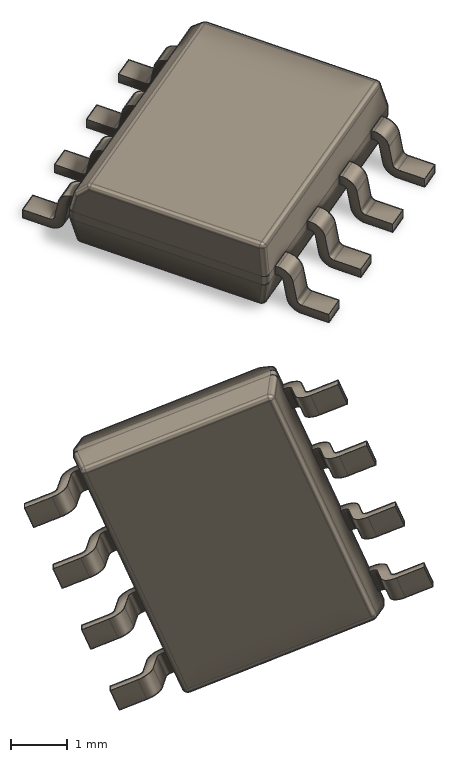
import cadquery as cq
import math

span_x = 6.0
body_x = 3.9
body_y = 4.9
body_top = 1.57
standoff = 0.1
draft = 10.0
body_fillet = 0.1
edge_bevel_top = 0.335

lead_count = 4
lead_pitch = 1.27
lead_width = 0.41
lead_thickness = 0.2
foot_length = 0.61
leg_lean = 10.0
inner_bend = 0.1
outer_bend = inner_bend + lead_thickness

waist_middle = (standoff + body_top) / 2
waist_bottom = waist_middle - lead_thickness / 2
waist_top = waist_middle + lead_thickness / 2
tapered_height = body_top - waist_top


def tapered_half(direction):
    """Body half that narrows away from the waist; direction is 1 (up) or -1 (down)."""
    start = waist_top if direction > 0 else waist_bottom
    return (
        cq.Workplane("XY", origin=(0, 0, start))
        .rect(body_x, body_y)
        .extrude(direction * tapered_height, taper=draft)
    )


def bevel_cutter():
    """Triangular bar that bevels the upper -X edge at 45 degrees."""
    bevel_x = -body_x / 2 + edge_bevel_top
    outside_x = -body_x / 2
    return (
        cq.Workplane("XZ")
        .polyline([
            (bevel_x, body_top),
            (outside_x, body_top),
            (outside_x, body_top - edge_bevel_top),
        ])
        .close()
        .extrude(body_y / 2, both=True)
    )


def make_body():
    upper = tapered_half(1).cut(bevel_cutter())
    lower = tapered_half(-1)
    waist = (
        cq.Workplane("XY", origin=(0, 0, waist_bottom))
        .rect(body_x, body_y)
        .extrude(lead_thickness)
    )
    upper = upper.edges("not <Z").fillet(body_fillet)
    lower = lower.edges("not >Z").fillet(body_fillet)
    waist = waist.edges("|Z").fillet(body_fillet)
    return waist.union(upper).union(lower)


def make_lead():
    """Gull-wing lead on the +X side, centred on Y = 0."""
    lean = math.tan(math.radians(leg_lean))
    leg_width = lead_thickness / math.cos(math.radians(leg_lean))
    foot_end = span_x / 2
    corner_x = foot_end - foot_length

    def leg_outer_x(z):
        return corner_x - (z - lead_thickness) * lean

    def leg_inner_x(z):
        return leg_outer_x(z) - leg_width

    arm_underside = waist_top - lead_thickness
    toe_corner = (corner_x, lead_thickness)
    heel_corner = (leg_inner_x(0), 0)
    shoulder_corner = (leg_outer_x(waist_top), waist_top)
    armpit_corner = (leg_inner_x(arm_underside), arm_underside)

    lead = (
        cq.Workplane("XZ")
        .polyline([
            (body_x / 2, waist_top),
            shoulder_corner,
            toe_corner,
            (foot_end, lead_thickness),
            (foot_end, 0),
            heel_corner,
            armpit_corner,
            (body_x / 2, arm_underside),
        ])
        .close()
        .extrude(lead_width / 2, both=True)
    )
    bends = [
        (shoulder_corner, outer_bend),
        (armpit_corner, inner_bend),
        (toe_corner, inner_bend),
        (heel_corner, outer_bend),
    ]
    for (x, z), radius in bends:
        lead = lead.edges(cq.NearestToPointSelector((x, 0, z))).fillet(radius)
    return lead


def make_leads():
    """Two mirrored rows of leads, each lead a separate solid."""
    right_lead = make_lead()
    left_lead = right_lead.mirror("YZ")
    leads = []
    for i in range(lead_count):
        y = (i - (lead_count - 1) / 2) * lead_pitch
        for lead in (right_lead, left_lead):
            leads.append(lead.translate((0, y, 0)).val())
    return leads


body = make_body()
leads = make_leads()
result = cq.Compound.makeCompound([body.val(), *leads])